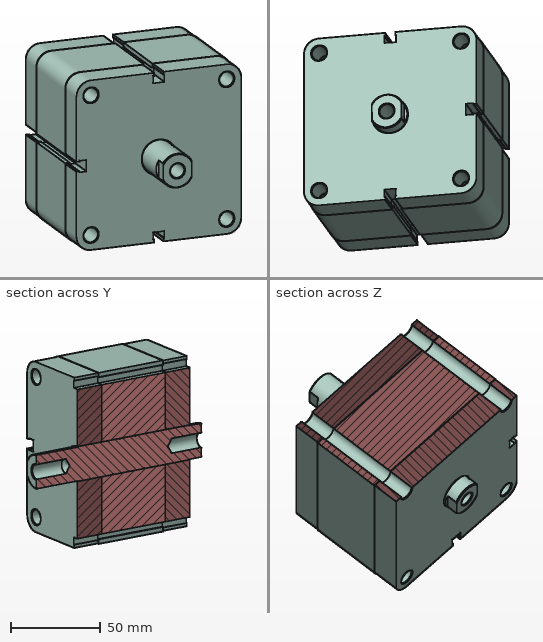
import cadquery as cq
import math

rod_length = 112.5
near_rod_overhang = 8.0
cap_length = 16.4
housing_length = 43.6

housing_width = 100.0
cap_setback = 0.25
cap_width = housing_width - 2 * cap_setback
housing_corner_radius = 9.0
cap_corner_radius = housing_corner_radius - cap_setback

bolt_hole_spacing = 81.9
bolt_hole_diameter = 8.5
bolt_hole_chamfer = 0.5

slot_depth = 6.3
slot_cavity_width = 6.8
housing_throat_width = 5.0
housing_lip_depth = 2.7
cap_throat_width = 5.8
cap_lip_depth = 2.1
slot_angles = [0, 90, 180]

rod_diameter = 20.0
rod_end_chamfer = 0.5
rod_bore_chamfer = 0.5
flat_length = 6.8
across_flats = 17.1
shoulder_slope_run = 0.5
tapped_hole_diameter = 8.3
tapped_hole_chamfer = 0.5
tapped_hole_depth = 20.2
drill_point_angle = 118.0

rod_start = -rod_length / 2
near_cap_start = rod_start + near_rod_overhang
housing_start = near_cap_start + cap_length
far_cap_start = housing_start + housing_length


def plane_at(x):
    """Workplane across the rod axis: local x is +Y, local y is +Z, normal is +X."""
    return cq.Workplane("YZ", origin=(x, 0, 0))


def square_block(length, width, corner_radius):
    """Square block from x = 0 with rounded edges along X."""
    return plane_at(0).rect(width, width).extrude(length).edges("|X").fillet(corner_radius)


def cut_t_slots(block, length, throat_width, lip_depth):
    """Cut the full-length T-slots into the -Y, +Z and -Z sides."""
    outer_face = housing_width / 2
    throat = plane_at(0).center(0, outer_face - slot_depth / 2).rect(throat_width, slot_depth).extrude(length)
    cavity_depth = slot_depth - lip_depth
    cavity_center = outer_face - lip_depth - cavity_depth / 2
    cavity = plane_at(0).center(0, cavity_center).rect(slot_cavity_width, cavity_depth).extrude(length)
    t_slot = throat.union(cavity)
    for angle in slot_angles:
        block = block.cut(t_slot.rotate((0, 0, 0), (1, 0, 0), angle))
    return block


def cut_bores(block, length):
    """Cut the central rod bore and the four corner bolt holes."""
    rod_bore = plane_at(0).circle(rod_diameter / 2).extrude(length)
    bolt_holes = (
        plane_at(0)
        .rect(bolt_hole_spacing, bolt_hole_spacing, forConstruction=True)
        .vertices()
        .circle(bolt_hole_diameter / 2)
        .extrude(length)
    )
    return block.cut(rod_bore).cut(bolt_holes)


def make_housing():
    housing = square_block(housing_length, housing_width, housing_corner_radius)
    housing = cut_t_slots(housing, housing_length, housing_throat_width, housing_lip_depth)
    housing = cut_bores(housing, housing_length)
    return housing.translate((housing_start, 0, 0))


def make_near_cap():
    """Cap with its outer face, where the holes are chamfered, toward -X."""
    cap = square_block(cap_length, cap_width, cap_corner_radius)
    cap = cut_t_slots(cap, cap_length, cap_throat_width, cap_lip_depth)
    cap = cut_bores(cap, cap_length)
    largest_circle = cq.selectors.RadiusNthSelector(-1)
    smallest_circle = cq.selectors.RadiusNthSelector(0)
    cap = cap.faces("<X").edges(largest_circle).chamfer(rod_bore_chamfer)
    cap = cap.faces("<X").edges(smallest_circle).chamfer(bolt_hole_chamfer)
    return cap.translate((near_cap_start, 0, 0))


def make_far_cap():
    """Mirror image of the near cap, with its outer face toward +X."""
    mirrored_inner_face = -(near_cap_start + cap_length)
    return make_near_cap().mirror("YZ").translate((far_cap_start - mirrored_inner_face, 0, 0))


def make_flat_cutter():
    """Cutter for the -X end flat on the +Y side, with a slightly sloped shoulder."""
    flat_end = rod_start + flat_length
    return (
        cq.Workplane("XY")
        .moveTo(rod_start, across_flats / 2)
        .lineTo(flat_end, across_flats / 2)
        .lineTo(flat_end + shoulder_slope_run, rod_diameter / 2)
        .lineTo(rod_start, rod_diameter / 2)
        .close()
        .extrude(rod_diameter / 2, both=True)
    )


def make_tapped_hole_cutter():
    """Chamfered blind hole with a conical drill point, entering from the -X end."""
    radius = tapped_hole_diameter / 2
    hole_bottom = rod_start + tapped_hole_depth
    drill_point = radius / math.tan(math.radians(drill_point_angle / 2))
    return (
        cq.Workplane("XY")
        .moveTo(rod_start, 0)
        .lineTo(rod_start, radius + tapped_hole_chamfer)
        .lineTo(rod_start + tapped_hole_chamfer, radius)
        .lineTo(hole_bottom, radius)
        .lineTo(hole_bottom + drill_point, 0)
        .close()
        .revolve(360, (0, 0, 0), (1, 0, 0))
    )


def make_rod():
    """Through rod with two flats and a tapped hole at each end."""
    rod = plane_at(rod_start).circle(rod_diameter / 2).extrude(rod_length)
    rod = rod.faces("<X or >X").chamfer(rod_end_chamfer)
    flat = make_flat_cutter()
    end_cutters = [flat, flat.mirror("XZ"), make_tapped_hole_cutter()]
    for cutter in end_cutters:
        rod = rod.cut(cutter).cut(cutter.mirror("YZ"))
    return rod


housing = make_housing()
near_cap = make_near_cap()
far_cap = make_far_cap()
rod = make_rod()

result = cq.Compound.makeCompound([housing.val(), near_cap.val(), far_cap.val(), rod.val()])